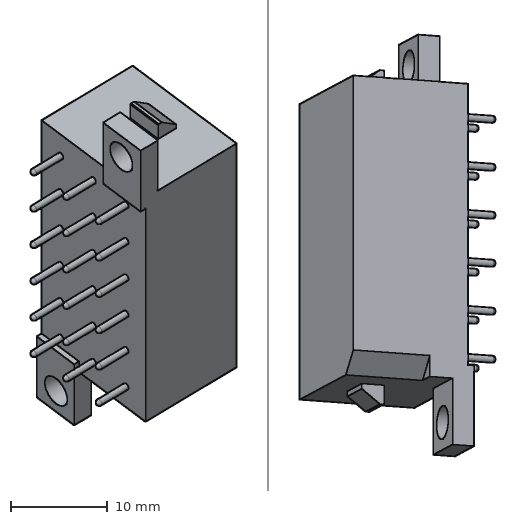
import cadquery as cq

body_width = 16.15
body_depth = 12.65
body_height = 31.2
key_chamfer = 2.2
key_length = 8.45

overall_height = 45.25
ear_width = 5.85
ear_height = 8.5
ear_thickness = 2.4
ear_proud = 0.7
hole_diameter = 3.5
hole_end_distance = 2.9

latch_width = 4.3
latch_height = 2.05
latch_back = 3.1
latch_depth = 2.5
latch_lip = 0.55
latch_crest = 0.5
latch_edge_break = 0.1

pin_columns = 3
pin_rows = 6
pin_pitch = 5.05
pin_diameter = 0.75
pin_length = 4.1
pin_root = 0.45

half_width = body_width / 2
half_height = body_height / 2
hole_x = pin_pitch * (pin_columns - 1) / 2


def mirrored_pair(shape):
    """Return the shape together with its half-turn copy about the Y axis."""
    return shape.union(shape.rotate((0, 0, 0), (0, 1, 0), 180))


def housing():
    block = cq.Workplane("XY").box(
        body_width, body_depth, body_height, centered=(True, False, True)
    ).translate((0, -body_depth, 0))
    key_cut = (
        cq.Workplane("XZ")
        .moveTo(-half_width, -half_height)
        .lineTo(-half_width + key_chamfer, -half_height)
        .lineTo(-half_width, -half_height + key_chamfer)
        .close()
        .extrude(key_length)
    )
    return block.cut(key_cut)


def ear():
    """Upper ear, flush with the +X side of the housing."""
    front_y = -body_depth - ear_proud
    top_z = overall_height / 2
    plate = cq.Workplane("XY").box(
        ear_width, ear_thickness, ear_height, centered=False
    ).translate((half_width - ear_width, front_y, top_z - ear_height))
    hole = (
        cq.Workplane("XZ", origin=(0, front_y + ear_thickness, 0))
        .center(hole_x, top_z - hole_end_distance)
        .circle(hole_diameter / 2)
        .extrude(ear_thickness)
    )
    return plate.cut(hole)


def latch():
    """Upper latch: a ramp rising from the back to a narrow crest."""
    front_y = -latch_back - latch_depth
    crest_z = half_height + latch_height
    return (
        cq.Workplane("YZ")
        .moveTo(-latch_back, half_height)
        .lineTo(-latch_back, half_height + latch_lip)
        .lineTo(front_y + latch_crest, crest_z)
        .lineTo(front_y + latch_edge_break, crest_z)
        .lineTo(front_y, crest_z - latch_edge_break)
        .lineTo(front_y, half_height)
        .close()
        .extrude(latch_width / 2, both=True)
    )


def pins():
    """Grid of round pins with hemispherical tips."""
    radius = pin_diameter / 2
    tip_y = -body_depth - pin_length
    shank_length = pin_root + pin_length - radius
    shank = cq.Workplane("XZ", origin=(0, pin_root - body_depth, 0)).circle(radius).extrude(shank_length)
    tip = cq.Workplane("XY").sphere(radius).translate((0, tip_y + radius, 0))
    pin = shank.union(tip).val()
    grid = cq.Workplane("XY")
    for column in range(pin_columns):
        for level in range(pin_rows):
            x = (column - (pin_columns - 1) / 2) * pin_pitch
            z = (level - (pin_rows - 1) / 2) * pin_pitch
            grid = grid.add(pin.translate(cq.Vector(x, 0, z)))
    return grid.combine()


result = housing().union(mirrored_pair(ear())).union(mirrored_pair(latch())).union(pins())